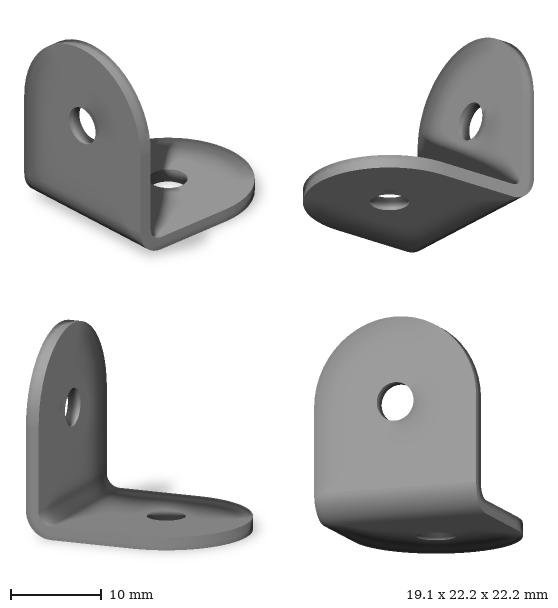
import cadquery as cq

width = 19.05
leg_length = 22.23
thickness = 1.51
inner_bend_radius = 1.51
hole_diameter = 4.31

outer_bend_radius = inner_bend_radius + thickness
end_radius = width / 2
straight_end = leg_length - end_radius


def leg_outline(plane):
    """Rounded leg with its hole, running from the bend to the free end."""
    return (
        cq.Workplane(plane)
        .moveTo(-end_radius, outer_bend_radius)
        .lineTo(-end_radius, straight_end)
        .threePointArc((0, leg_length), (end_radius, straight_end))
        .lineTo(end_radius, outer_bend_radius)
        .close()
        .moveTo(0, straight_end)
        .circle(hole_diameter / 2)
    )


def bend():
    """Quarter ring joining the two legs, along the full width."""
    block = (
        cq.Workplane("YZ")
        .rect(outer_bend_radius, outer_bend_radius, centered=False)
        .extrude(end_radius, both=True)
    )
    ring = (
        cq.Workplane("YZ")
        .center(outer_bend_radius, outer_bend_radius)
        .circle(outer_bend_radius)
        .circle(inner_bend_radius)
        .extrude(end_radius, both=True)
    )
    return block.intersect(ring)


base_leg = leg_outline("XY").extrude(thickness)
upright_leg = leg_outline("XZ").extrude(-thickness)

result = base_leg.union(bend()).union(upright_leg)